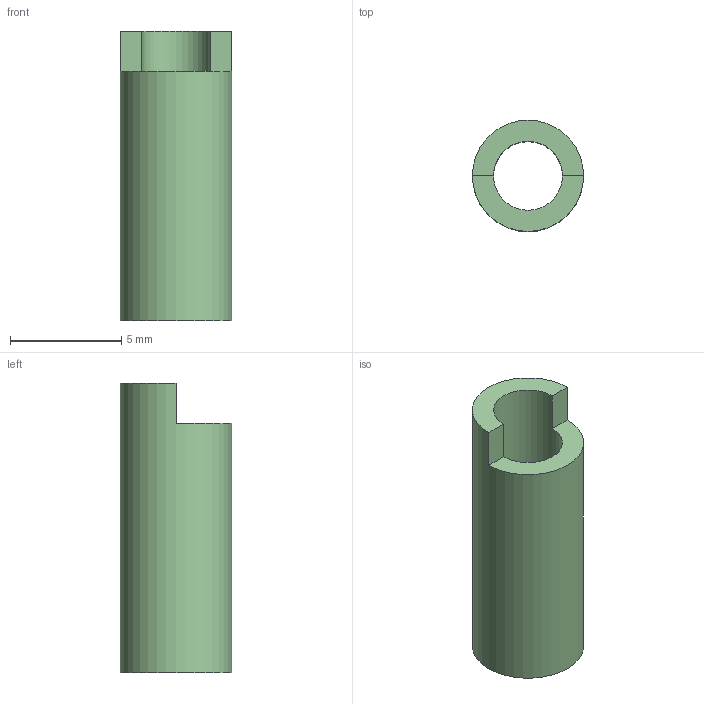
import cadquery as cq

outer_diameter = 5.0
bore_diameter = 3.1
total_height = 13.0
step_depth = 1.8


def make_tube():
    """Round sleeve standing on Z = 0 with a through bore."""
    return (
        cq.Workplane("XY")
        .circle(outer_diameter / 2)
        .circle(bore_diameter / 2)
        .extrude(total_height)
    )


def make_step_cutter():
    """Block covering the -Y half of the sleeve's top end."""
    return (
        cq.Workplane("XY")
        .workplane(offset=total_height - step_depth)
        .rect(outer_diameter, outer_diameter)
        .extrude(step_depth)
        .translate((0, -outer_diameter / 2, 0))
    )


result = make_tube().cut(make_step_cutter())